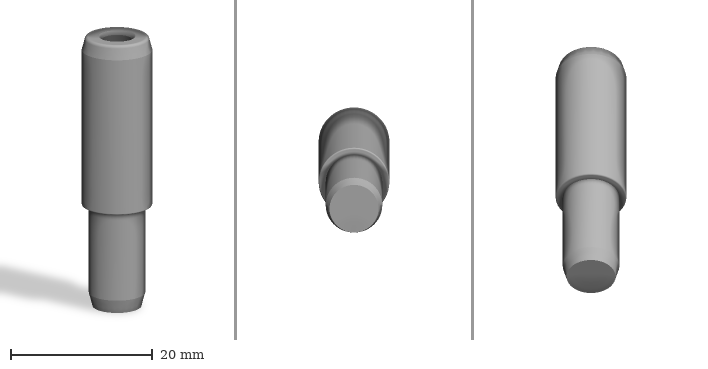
import cadquery as cq
import math

total_length = 40.0
shank_length = 15.0

head_radius = 5.0
shank_radius = 4.0

taper_length = 2.0
taper_angle = 15.0
taper_inset = taper_length * math.tan(math.radians(taper_angle))

top_rim_fillet = 0.5
shoulder_fillet = 0.2

hole_radius = 2.1
hole_depth = 12.0
countersink = 0.5
drill_point_angle = 118.0
drill_point_depth = hole_radius / math.tan(math.radians(drill_point_angle / 2))


def revolve_profile(points):
    """Revolve a closed outline of (radius, height) points around Z."""
    return cq.Workplane("XZ").polyline(points).close().revolve(360, (0, 0), (0, 1))


def make_shank():
    """Plain shank, tapered at its lower end."""
    return revolve_profile([
        (0, 0),
        (shank_radius - taper_inset, 0),
        (shank_radius, taper_length),
        (shank_radius, shank_length),
        (0, shank_length),
    ])


def make_head():
    """Larger head, tapered at its upper end, with rounded top rim and shoulder."""
    head = revolve_profile([
        (0, shank_length),
        (head_radius, shank_length),
        (head_radius, total_length - taper_length),
        (head_radius - taper_inset, total_length),
        (0, total_length),
    ])
    head = head.faces(">Z").edges().fillet(top_rim_fillet)
    return head.faces("<Z").edges().fillet(shoulder_fillet)


def make_hole():
    """Cutter for the countersunk blind hole in the top face."""
    hole_floor = total_length - hole_depth
    return revolve_profile([
        (0, hole_floor - drill_point_depth),
        (hole_radius, hole_floor),
        (hole_radius, total_length - countersink),
        (hole_radius + countersink, total_length),
        (0, total_length),
    ])


result = make_shank().union(make_head()).cut(make_hole())